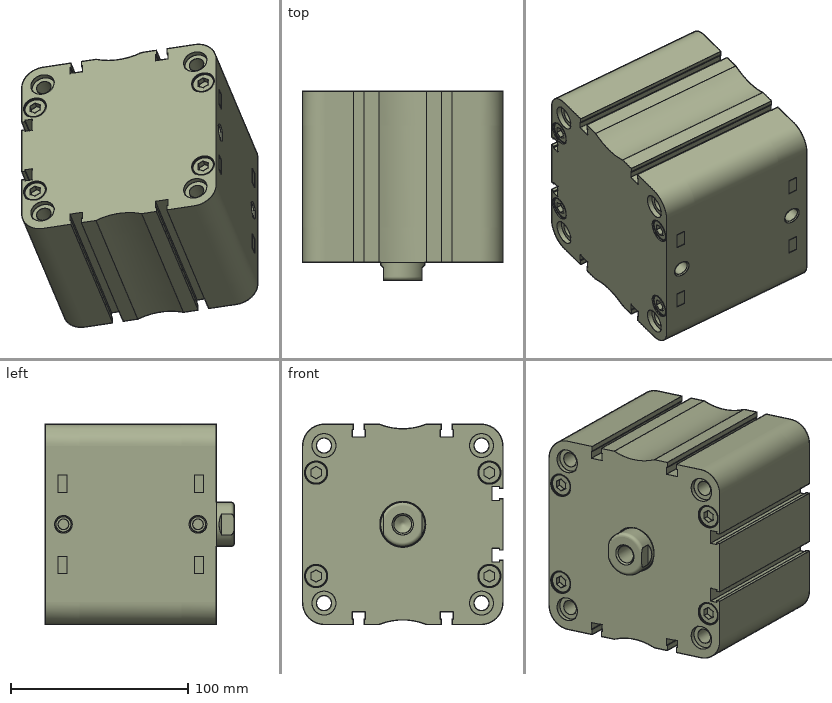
import cadquery as cq
import math


side = 113.3
half_side = side / 2
rod_projection = 10.2
total_length = 107.0
body_length = total_length - rod_projection
cap_length = 19.5
tube_length = body_length - 2 * cap_length
corner_radius = 12.5

valley_half_width = 13.3
valley_depth = 2.6

top_slot_offset = 24.9
top_slot_mouth_width = 6.1
top_slot_lip = 3.1
top_slot_width = 7.2
top_slot_depth = 7.2
side_slot_offset = 17.4
side_slot_mouth_width = 5.7
side_slot_lip = 2.0
side_slot_width = 7.7
side_slot_depth = 6.1

mount_pitch = 89.0
mount_hole_diameter = 8.38
mount_counterbore_diameter = 13.5
mount_counterbore_depth = 3.0

screw_pitch_x = 97.9
screw_pitch_z = 58.4
screw_recess_diameter = 13.1
screw_head_diameter = 12.0
screw_head_sink = 0.5
screw_gap_depth = 1.0
screw_hex_across_flats = 6.0
screw_hex_depth = 4.0

rod_diameter = 25.0
rod_tip_fillet = 2.0
rod_clearance_diameter = 26.0
rod_clearance_depth = 1.0
flat_across = 22.0
flat_length = 7.2
rod_thread_diameter = 10.11
rod_thread_mouth_diameter = 12.0
rod_thread_depth = 20.0
drill_point_angle = 118.0

port_distance_from_end = 10.4
port_diameter = 8.57
port_mouth_diameter = 9.98
port_depth = 8.0
port_passage_diameter = 6.0
port_passage_depth = 14.0

label_distance_from_end = 9.8
label_offset = 23.0
label_width = 5.2
label_height = 9.8
label_depth = 0.2


def body_segment(start, length):
    """Rounded square with a valley in the top and bottom, from y = start."""
    outline = (
        cq.Workplane("XZ", origin=(0, start, 0))
        .rect(side, side)
        .extrude(-length)
        .edges("|Y")
        .fillet(corner_radius)
    )
    for sign in (1, -1):
        valley = (
            cq.Workplane("XZ", origin=(0, start, 0))
            .moveTo(-valley_half_width, sign * half_side)
            .threePointArc(
                (0, sign * (half_side - valley_depth)),
                (valley_half_width, sign * half_side),
            )
            .close()
            .extrude(-length)
        )
        outline = outline.cut(valley)
    return outline


def t_slot(mouth_width, lip, width, depth):
    """Full-length T-slot cutter entering from the top face at x = 0."""
    mouth = cq.Workplane("XY").box(mouth_width, body_length, lip, centered=(True, False, False))
    undercut = cq.Workplane("XY").box(width, body_length, depth - lip, centered=(True, False, False))
    return mouth.translate((0, 0, half_side - lip)).union(undercut.translate((0, 0, half_side - depth)))


def cylinder(diameter, start, length):
    """Cylinder along +Y from y = start."""
    return cq.Workplane("XZ", origin=(0, start, 0)).circle(diameter / 2).extrude(-length)


def corners(pitch_x, pitch_z):
    """The four centres of a rectangular pattern about the rod axis."""
    return [(i * pitch_x / 2, j * pitch_z / 2) for i in (-1, 1) for j in (-1, 1)]


def to_rear(shape):
    """Mirror a front-end shape to the rear end of the body."""
    mid_plane = (0, body_length / 2, 0)
    return shape.mirror("XZ", mid_plane)


def screw_recess():
    """Space over and around a sunken screw head, together with its hexagon socket."""
    space = cylinder(screw_recess_diameter, 0, screw_gap_depth)
    space = space.cut(cylinder(screw_head_diameter, screw_head_sink, screw_gap_depth))
    hex_corner_diameter = screw_hex_across_flats / math.cos(math.radians(30))
    socket = (
        cq.Workplane("XZ")
        .transformed(rotate=(0, 0, 30))
        .polygon(6, hex_corner_diameter)
        .extrude(-screw_hex_depth)
    )
    return space.union(socket)


def piston_rod():
    """Rod end with two wrench flats and a rounded tip."""
    rod = cylinder(rod_diameter, -rod_projection, rod_projection + rod_clearance_depth)
    rod = rod.faces("<Y").edges().fillet(rod_tip_fillet)

    tip = -rod_projection
    flat_end = tip + flat_length
    flat_x = flat_across / 2
    runout = rod_diameter / 2 - flat_x
    flat = (
        cq.Workplane("XY", origin=(0, 0, -rod_diameter / 2))
        .moveTo(flat_x, tip)
        .lineTo(flat_x, flat_end)
        .lineTo(flat_x + runout, flat_end + runout)
        .lineTo(flat_x + runout, tip)
        .close()
        .extrude(rod_diameter)
    )
    return rod.cut(flat).cut(flat.mirror("YZ"))


def rod_thread_hole():
    """Blind hole with a 45 degree mouth chamfer and a drill-point bottom."""
    radius = rod_thread_diameter / 2
    mouth_radius = rod_thread_mouth_diameter / 2
    point_length = radius / math.tan(math.radians(drill_point_angle / 2))
    tip = -rod_projection
    bottom = tip + rod_thread_depth
    return (
        cq.Workplane("XY")
        .moveTo(0, tip)
        .lineTo(mouth_radius, tip)
        .lineTo(radius, tip + mouth_radius - radius)
        .lineTo(radius, bottom)
        .lineTo(0, bottom + point_length)
        .close()
        .revolve(360, (0, 0, 0), (0, 1, 0))
    )


def air_port():
    """Port cutter along +X from the -X side at y = 0: chamfer, thread, passage."""
    radius = port_diameter / 2
    mouth_radius = port_mouth_diameter / 2
    passage_radius = port_passage_diameter / 2
    return (
        cq.Workplane("XY", origin=(-half_side, 0, 0))
        .lineTo(0, mouth_radius)
        .lineTo(mouth_radius - radius, radius)
        .lineTo(port_depth, radius)
        .lineTo(port_depth, passage_radius)
        .lineTo(port_passage_depth, passage_radius)
        .lineTo(port_passage_depth, 0)
        .close()
        .revolve(360, (0, 0, 0), (1, 0, 0))
    )


def slot_cutters():
    """T-slots: two in the top, two in the bottom and two in the +X side."""
    top_slot = t_slot(top_slot_mouth_width, top_slot_lip, top_slot_width, top_slot_depth)
    side_slot = t_slot(side_slot_mouth_width, side_slot_lip, side_slot_width, side_slot_depth)
    side_slot = side_slot.rotate((0, 0, 0), (0, 1, 0), 90)
    cutters = []
    for sign in (1, -1):
        slot = top_slot.translate((sign * top_slot_offset, 0, 0))
        cutters += [slot, slot.mirror("XY")]
        cutters.append(side_slot.translate((0, 0, sign * side_slot_offset)))
    return cutters


def mount_hole_cutters():
    """Four through holes, counterbored at both ends."""
    hole = cylinder(mount_hole_diameter, 0, body_length)
    counterbore = cylinder(mount_counterbore_diameter, 0, mount_counterbore_depth)
    cutter = hole.union(counterbore).union(to_rear(counterbore))
    return [cutter.translate((x, 0, z)) for x, z in corners(mount_pitch, mount_pitch)]


def front_screw_cutters():
    """Head gaps and sockets of the four front screws."""
    recess = screw_recess()
    return [recess.translate((x, 0, z)) for x, z in corners(screw_pitch_x, screw_pitch_z)]


def front_label_cutters():
    """Shallow panels above and below the front port."""
    panel = cq.Workplane("XY").box(2 * label_depth, label_width, label_height)
    offsets = (label_offset, -label_offset)
    return [panel.translate((-half_side, label_distance_from_end, z)) for z in offsets]


body = body_segment(0, cap_length)
body = body.union(body_segment(cap_length, tube_length), clean=False)
body = body.union(body_segment(cap_length + tube_length, cap_length), clean=False)

front_port = air_port().translate((0, port_distance_from_end, 0))
front_cutters = [front_port] + front_screw_cutters() + front_label_cutters()
rear_cutters = [to_rear(cutter) for cutter in front_cutters]
rod_clearance = cylinder(rod_clearance_diameter, 0, rod_clearance_depth)

for cutter in slot_cutters() + mount_hole_cutters() + front_cutters + rear_cutters + [rod_clearance]:
    body = body.cut(cutter, clean=False)

result = body.union(piston_rod(), clean=False).cut(rod_thread_hole(), clean=False)